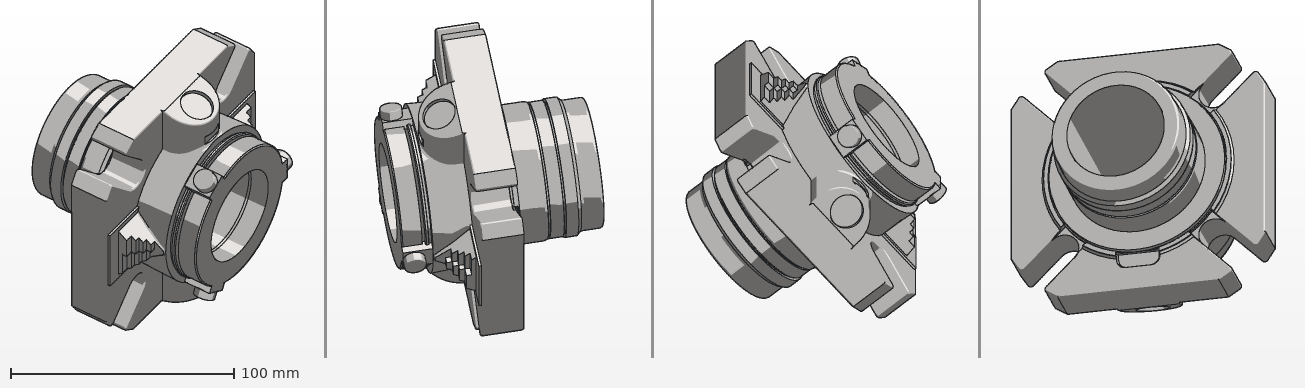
import cadquery as cq
import math

LENGTH = 93.24
PLATE_SIZE = 117.45
HALF_PLATE = PLATE_SIZE / 2
BORE_DIAMETER = 45.0

SPIGOT_TIP_DIAMETER = 59.28
GROOVE_DIAMETER = 59.94
FIRST_RIDGE_DIAMETER = 63.0
SECOND_RIDGE_DIAMETER = 61.92
SHANK_DIAMETER = 63.22
TIP_FILLET = 1.4
RAMP_START = 9.0
RAMP_BREAK = 10.5
FIRST_RIDGE_START = 12.1
FIRST_RIDGE_END = 17.6
SECOND_RIDGE_START = 18.5
SECOND_RIDGE_END = 24.7
SHANK_START = 25.7
SHANK_CHAMFER_LENGTH = 1.3
SHANK_CHAMFER_DEPTH = 0.4

DISC_START = 39.5
DISC_DIAMETER = 81.05
DISC_GAP_RADIUS = 41.2
RING_START = 40.3
RING_RADIUS = 43.3
RING_BASE_RADIUS = 44.3

PLATE_START = 41.9
PLATE_END = 61.2
PLATE_EDGE_FILLET = 0.9
EMBED_START = PLATE_START + 2 * PLATE_EDGE_FILLET
SIDE_HALF_LENGTH = 37.2
CORNER_LONG = 54.0
CORNER_SHORT = 44.5
CORNER_FILLET = 1.6
SLOT_WIDTH = 14.3
SLOT_CENTRE_RADIUS = 49.25
GAP_DEPTH = 1.3

RECESS_HALF_WIDTH = 10.0
RECESS_BOTTOM = 47.7
RECESS_TOP = DISC_DIAMETER / 2
RECESS_CORNER_RADIUS = 4.5
RECESS_DEPTH = 1.5
RECESS_FLOOR_CHAMFER = 0.7

BODY_END = 79.6
BODY_FRONT_RADIUS = 37.8
BODY_REAR_RADIUS = 38.4
BODY_BASE_FILLET = 1.8
BODY_TRIM_ALLOWANCE = 4.0

BOSS_CENTRE_X = 64.6
BOSS_RADIUS = 14.5
BOSS_SLOPE_START = 62.0
BOSS_SLOPE_ANGLE = 20.0
BOSS_TOP_FILLET = 0.8
BOSS_BASE_FILLET = 1.6
BOSS_HOLE_DIAMETER = 15.34
BOSS_HOLE_X = 70.0
BOSS_HOLE_DEPTH = 2.0
BOSS_NOTCH_X = 78.1
BOSS_NOTCH_LOW = 40.0
BOSS_NOTCH_HIGH = 44.5

PAD_HALF_WIDTH = 13.9
PAD_APEX_X = 80.6
PAD_APEX_FILLET = 2.0
PAD_BASE_FILLET = 0.8
PAD_STEPS = [(66.8, 50.7), (69.2, 47.0), (71.6, 44.6), (74.2, 42.2)]
PAD_TIP_X = 79.2
PAD_TIP_HEIGHT = 39.4
PAD_HALF_SHIFT = 2.4
PAD_BASE_END = 62.3
PAD_BASE_HALF_WIDTH = 15.5
PAD_BASE_HEIGHT = 57.2

RIM_START = 80.9
RIM_END = 82.5
RIM_DIAMETER = 70.87
RIM_CHAMFER = 0.5
CLAMP_RING_START = 83.8
CLAMP_RING_DIAMETER = 69.34
CLAMP_RING_CHAMFER = 0.6
TUBE_RADIUS = 22.8
LUG_COUNT = 3
LUG_WIDTH = 11.5
LUG_INNER = 32.8
LUG_OUTER = 37.5
PIN_DIAMETER = 10.0
PIN_X = LENGTH - PIN_DIAMETER / 2
PIN_OUTER = 41.8
PIN_FILLET = 0.4


def turned_core():
    """Everything round about X: spigot, disc, neck and clamp ring."""
    tip = SPIGOT_TIP_DIAMETER / 2
    groove = GROOVE_DIAMETER / 2
    first_ridge = FIRST_RIDGE_DIAMETER / 2
    second_ridge = SECOND_RIDGE_DIAMETER / 2
    shank = SHANK_DIAMETER / 2
    disc = DISC_DIAMETER / 2
    rim = RIM_DIAMETER / 2
    clamp = CLAMP_RING_DIAMETER / 2
    profile = [
        (0, 0),
        (0, tip),
        (RAMP_START, tip),
        (RAMP_BREAK, groove),
        (FIRST_RIDGE_START, first_ridge),
        (FIRST_RIDGE_END, first_ridge),
        (FIRST_RIDGE_END, groove),
        (SECOND_RIDGE_START, groove),
        (SECOND_RIDGE_START, second_ridge),
        (SECOND_RIDGE_END, second_ridge),
        (SECOND_RIDGE_END, groove),
        (SHANK_START, groove),
        (SHANK_START, shank - SHANK_CHAMFER_DEPTH),
        (SHANK_START + SHANK_CHAMFER_LENGTH, shank),
        (DISC_START, shank),
        (DISC_START, disc),
        (PLATE_START, disc),
        (PLATE_START, DISC_GAP_RADIUS),
        (PLATE_END, DISC_GAP_RADIUS),
        (PLATE_END, clamp),
        (RIM_START, clamp),
        (RIM_START, rim),
        (RIM_END - RIM_CHAMFER, rim),
        (RIM_END, rim - RIM_CHAMFER),
        (RIM_END, TUBE_RADIUS),
        (CLAMP_RING_START, TUBE_RADIUS),
        (CLAMP_RING_START, clamp),
        (LENGTH - CLAMP_RING_CHAMFER, clamp),
        (LENGTH, clamp - CLAMP_RING_CHAMFER),
        (LENGTH, 0),
    ]
    core = cq.Workplane("XY").polyline(profile).close().revolve(360, (0, 0, 0), (1, 0, 0))
    return core.faces("<X").edges().fillet(TIP_FILLET)


def slot_cutters(start, end):
    """Four round-ended slots running outward along the diagonals."""
    reach = PLATE_SIZE
    length = end - start
    middle = (start + end) / 2
    slot = (
        cq.Workplane("YZ", origin=(start, 0, 0))
        .center(SLOT_CENTRE_RADIUS, 0)
        .circle(SLOT_WIDTH / 2)
        .extrude(length)
        .union(
            cq.Workplane("XY")
            .box(length, reach, SLOT_WIDTH)
            .translate((middle, SLOT_CENTRE_RADIUS + reach / 2, 0))
        )
    )
    cutters = cq.Workplane("XY")
    for quarter in range(4):
        cutters = cutters.add(slot.rotate((0, 0, 0), (1, 0, 0), 45 + 90 * quarter))
    return cutters.combine()


def plate():
    """Square plate with bevelled corners, rounded edges and diagonal slots."""
    corner = [
        (SIDE_HALF_LENGTH, HALF_PLATE),
        (CORNER_SHORT, CORNER_LONG),
        (CORNER_LONG, CORNER_SHORT),
        (HALF_PLATE, SIDE_HALF_LENGTH),
    ]
    mirrored = [(y, -z) for y, z in reversed(corner)]
    right_side = corner + mirrored
    outline = right_side + [(-y, -z) for y, z in right_side]
    body = (
        cq.Workplane("YZ", origin=(PLATE_START, 0, 0))
        .polyline(outline)
        .close()
        .extrude(PLATE_END - PLATE_START)
        .cut(slot_cutters(PLATE_START, PLATE_END))
    )
    tip_edges = [
        edge
        for edge in body.edges("|X").vals()
        if math.isclose(max(abs(edge.Center().y), abs(edge.Center().z)), CORNER_LONG, abs_tol=0.5)
    ]
    body = body.newObject(tip_edges).fillet(CORNER_FILLET)
    return body.faces("<X or >X").edges().fillet(PLATE_EDGE_FILLET)


def raised_ring():
    """Low flared ring on the plate face, a narrow gap outside the disc."""
    profile = [
        (RING_START, DISC_GAP_RADIUS),
        (RING_START, RING_RADIUS),
        (PLATE_START - (RING_BASE_RADIUS - RING_RADIUS), RING_RADIUS),
        (PLATE_START, RING_BASE_RADIUS),
        (PLATE_START, DISC_GAP_RADIUS),
    ]
    return cq.Workplane("XY").polyline(profile).close().revolve(360, (0, 0, 0), (1, 0, 0))


def front_gap():
    """Shallow straight gap that opens ring and plate face along one diagonal."""
    span = PLATE_START + GAP_DEPTH - RING_START
    gap = cq.Workplane("XY").box(span, 2 * PLATE_SIZE, SLOT_WIDTH)
    return gap.translate((RING_START + span / 2, 0, 0))


def recess_cutter():
    """Shallow round-cornered recess through the ring into the plate face."""
    depth = PLATE_START + RECESS_DEPTH - RING_START
    height = RECESS_BOTTOM - RECESS_TOP
    centre = -(RECESS_BOTTOM + RECESS_TOP) / 2
    cutter = cq.Workplane("XY").box(depth, 2 * RECESS_HALF_WIDTH, height)
    cutter = cutter.edges("|X and <Z").fillet(RECESS_CORNER_RADIUS)
    cutter = cutter.faces(">X").edges("not >Z").chamfer(RECESS_FLOOR_CHAMFER)
    return cutter.translate((RING_START + depth / 2, 0, centre))


def slope_height(x):
    """Height of the boss top plane at position x."""
    return HALF_PLATE - (x - BOSS_SLOPE_START) * math.tan(math.radians(BOSS_SLOPE_ANGLE))


def boss():
    """Round-nosed boss with a sloping top on the +Z side."""
    nose = BOSS_CENTRE_X + BOSS_RADIUS
    block = (
        cq.Workplane("XY")
        .moveTo(EMBED_START, -BOSS_RADIUS)
        .lineTo(BOSS_CENTRE_X, -BOSS_RADIUS)
        .threePointArc((nose, 0), (BOSS_CENTRE_X, BOSS_RADIUS))
        .lineTo(EMBED_START, BOSS_RADIUS)
        .close()
        .extrude(HALF_PLATE)
    )
    above = (
        cq.Workplane("XZ")
        .moveTo(BOSS_SLOPE_START, HALF_PLATE)
        .lineTo(BODY_END, slope_height(BODY_END))
        .lineTo(BODY_END, HALF_PLATE)
        .close()
        .extrude(BOSS_RADIUS, both=True)
    )
    block = block.cut(above)
    slope_point = (BOSS_HOLE_X, 0, slope_height(BOSS_HOLE_X))
    slope_face = block.faces(cq.selectors.NearestToPointSelector(slope_point))
    return slope_face.edges("not |Y").fillet(BOSS_TOP_FILLET)


def boss_hole():
    """Blind hole square to the sloping boss top."""
    slope = math.radians(BOSS_SLOPE_ANGLE)
    normal = (math.sin(slope), 0, math.cos(slope))
    top = cq.Plane(origin=(BOSS_HOLE_X, 0, slope_height(BOSS_HOLE_X)), xDir=(0, 1, 0), normal=normal)
    return (
        cq.Workplane(top)
        .circle(BOSS_HOLE_DIAMETER / 2)
        .extrude(BOSS_HOLE_DEPTH, both=True)
    )


def boss_notch():
    """Shallow flat across the nose of the boss."""
    height = BOSS_NOTCH_HIGH - BOSS_NOTCH_LOW
    length = BODY_END - BOSS_NOTCH_X
    return (
        cq.Workplane("XY")
        .box(length, 2 * BOSS_RADIUS, height)
        .translate((BOSS_NOTCH_X + length / 2, 0, BOSS_NOTCH_LOW + height / 2))
    )


def stair(shift):
    """Stair profile in the XY plane on the +Y side, moved forward by shift."""
    first_height = PAD_STEPS[0][1]
    points = [(EMBED_START, 0), (EMBED_START, first_height)]
    heights = [height for _, height in PAD_STEPS[1:]] + [PAD_TIP_HEIGHT]
    for (x, height), lower in zip(PAD_STEPS, heights):
        points.append((x - shift, height))
        points.append((x - shift, lower))
    points.append((PAD_TIP_X, PAD_TIP_HEIGHT))
    points.append((PAD_TIP_X, 0))
    return cq.Workplane("XY").polyline(points).close()


def pad():
    """Triangular stepped pad on the +Y side; its +Z half sits one step forward."""
    upper = stair(PAD_HALF_SHIFT).extrude(PAD_HALF_WIDTH * 2)
    lower = stair(0).extrude(-PAD_HALF_WIDTH * 2)
    triangle = (
        cq.Workplane("XZ")
        .moveTo(EMBED_START, -PAD_HALF_WIDTH)
        .lineTo(PLATE_END, -PAD_HALF_WIDTH)
        .lineTo(PAD_APEX_X, 0)
        .lineTo(PLATE_END, PAD_HALF_WIDTH)
        .lineTo(EMBED_START, PAD_HALF_WIDTH)
        .close()
        .extrude(-HALF_PLATE)
        .edges("|Y and >X")
        .fillet(PAD_APEX_FILLET)
    )
    return upper.union(lower).intersect(triangle)


def pad_base():
    """Low strip behind the plate under the pad on the +Y side."""
    base_length = PAD_BASE_END - EMBED_START
    return (
        cq.Workplane("XY")
        .box(base_length, PAD_BASE_HEIGHT, 2 * PAD_BASE_HALF_WIDTH)
        .translate((EMBED_START + base_length / 2, PAD_BASE_HEIGHT / 2, 0))
    )


def body_radius(x):
    """Radius of the slightly tapered body at position x."""
    taper = (BODY_REAR_RADIUS - BODY_FRONT_RADIUS) / (BODY_END - PLATE_END)
    return BODY_FRONT_RADIUS + taper * (x - PLATE_END)


def lies_on_taper(edge):
    """True for a joint edge on the tapered surface, leaving out its seam and round ends."""
    points = [edge.positionAt(fraction) for fraction in (0.1, 0.5, 0.9)]
    on_surface = all(
        math.isclose(math.hypot(point.y, point.z), body_radius(point.x), abs_tol=0.01)
        for point in points
    )
    return on_surface and edge.geomType() not in ("CIRCLE", "LINE")


def body():
    """Tapered body with bosses and pads blended into it, trimmed at its rear end."""
    blank_end = BODY_END + BODY_TRIM_ALLOWANCE
    profile = [
        (EMBED_START, 0),
        (EMBED_START, body_radius(EMBED_START)),
        (blank_end, body_radius(blank_end)),
        (blank_end, 0),
    ]
    blank = cq.Workplane("XY").polyline(profile).close().revolve(360, (0, 0, 0), (1, 0, 0))
    for feature, radius in ((boss(), BOSS_BASE_FILLET), (pad(), PAD_BASE_FILLET)):
        blank = blank.union(feature).union(turned(feature, 180))
        joints = [edge for edge in blank.edges().vals() if lies_on_taper(edge)]
        blank = blank.newObject(joints).fillet(radius)
    trim = cq.Workplane("YZ", origin=(BODY_END, 0, 0)).circle(PLATE_SIZE).extrude(2 * BODY_TRIM_ALLOWANCE)
    return blank.cut(trim)


def body_base_fillet():
    """Concave ring blending the body into the rear face of the plate."""
    foot = PLATE_END + BODY_BASE_FILLET
    inner = RIM_DIAMETER / 2
    low = body_radius(foot)
    high = BODY_FRONT_RADIUS + BODY_BASE_FILLET
    bulge = BODY_BASE_FILLET * (1 - math.sqrt(0.5))
    return (
        cq.Workplane("XY")
        .moveTo(PLATE_END, inner)
        .lineTo(foot, inner)
        .lineTo(foot, low)
        .threePointArc((PLATE_END + bulge, BODY_FRONT_RADIUS + bulge), (PLATE_END, high))
        .close()
        .revolve(360, (0, 0, 0), (1, 0, 0))
        .cut(slot_cutters(PLATE_END, foot))
    )


def clamp_lug():
    """Flat lug with a round pin head, bridging neck and clamp ring on the +Y side."""
    length = LENGTH - BODY_END
    height = LUG_OUTER - LUG_INNER
    lug = (
        cq.Workplane("XY")
        .box(length, height, LUG_WIDTH)
        .translate((BODY_END + length / 2, LUG_INNER + height / 2, 0))
    )
    pin = (
        cq.Workplane("XZ", origin=(PIN_X, LUG_OUTER, 0))
        .circle(PIN_DIAMETER / 2)
        .extrude(LUG_OUTER - PIN_OUTER)
        .faces(">Y")
        .edges()
        .fillet(PIN_FILLET)
    )
    return lug.union(pin)


def turned(shape, angle):
    """Copy of a shape turned about the flow axis."""
    return shape.rotate((0, 0, 0), (1, 0, 0), angle)


result = plate().union(raised_ring())
for diagonal in (45, 135):
    result = result.cut(turned(front_gap(), diagonal))
result = result.union(turned_core()).cut(recess_cutter())
result = result.union(body()).union(body_base_fillet())
for side in (0, 180):
    result = result.union(turned(pad_base(), side))
    result = result.cut(turned(boss_hole(), side)).cut(turned(boss_notch(), side))
for index in range(LUG_COUNT):
    result = result.union(turned(clamp_lug(), index * 360 / LUG_COUNT))
bore = cq.Workplane("YZ").circle(BORE_DIAMETER / 2).extrude(LENGTH)
result = result.cut(bore)